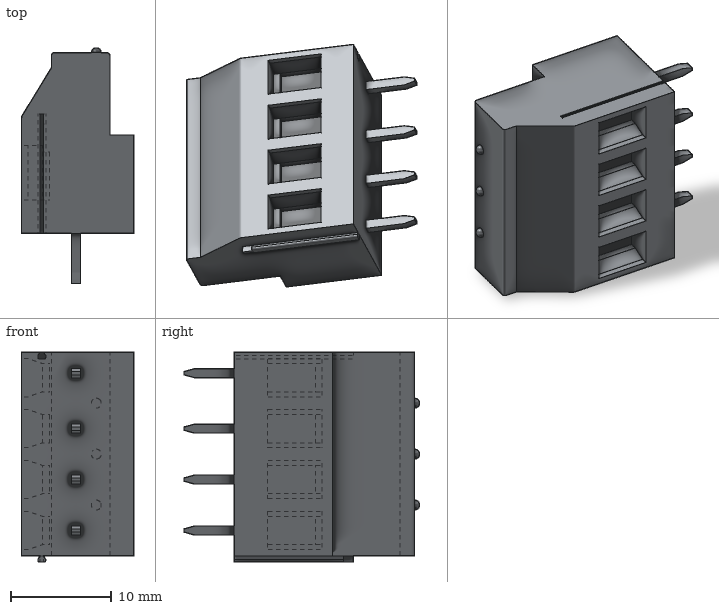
import cadquery as cq


pole_count = 4
pole_pitch = 5.08
housing_height = pole_count * pole_pitch
housing_width = 11.2
housing_depth = 18.0
step_x = 8.84
step_y = 9.82
slope_start_y = 11.63
slope_end_x = 2.98
slope_end_y = 16.52
slope_fillet = 0.47
near_top_fillet = 0.25
far_top_fillet = 0.35

pocket_length = 5.45
pocket_height = 3.8
pocket_start_y = 3.31
pocket_land = 0.63
pocket_slope_depth = 1.45
pocket_slope_rise = 0.5
chamber_depth = 0.7
chamber_ledge = 0.65

pin_length = 5.0
pin_thickness = 0.92
pin_x = 5.43
pin_taper_length = 1.05
pin_tip_height = 0.33
pin_embed = 0.24
top_pin_rise = 0.45

bump_radius = 0.5
bump_x = 7.45

rail_x = 2.02
rail_height = 0.6
rail_neck_width = 0.33
rail_head_width = 0.8
rail_flare_height = 0.33
rail_head_fillet = 0.19
rail_length = 11.9
rail_lead_length = 0.99
rail_embed = 0.12
groove_depth = 0.68


def pole_center_z(index):
    return (index + 0.5) * pole_pitch


def make_housing():
    body = (
        cq.Workplane("XY")
        .moveTo(0, 0)
        .lineTo(housing_width, 0)
        .lineTo(housing_width, step_y)
        .lineTo(step_x, step_y)
        .lineTo(step_x, housing_depth)
        .lineTo(slope_end_x, housing_depth)
        .lineTo(slope_end_x, slope_end_y)
        .lineTo(0, slope_start_y)
        .close()
        .extrude(housing_height)
    )
    rounded_corners = (
        (0, slope_start_y, slope_fillet),
        (slope_end_x, housing_depth, near_top_fillet),
        (step_x, housing_depth, far_top_fillet),
    )
    for x, y, radius in rounded_corners:
        corner = cq.selectors.NearestToPointSelector((x, y, housing_height / 2))
        body = body.edges("|Z").edges(corner).fillet(radius)
    return body


def make_pocket(center_z):
    """Funnel with sloping floor and roof, opening into a shorter chamber."""
    mouth = pocket_height / 2
    throat = mouth - pocket_slope_rise
    funnel_depth = pocket_land + pocket_slope_depth
    end_y = pocket_start_y + pocket_length
    funnel = (
        cq.Workplane("XZ", origin=(0, end_y, center_z))
        .moveTo(0, -mouth)
        .lineTo(pocket_land, -mouth)
        .lineTo(funnel_depth, -throat)
        .lineTo(funnel_depth, throat)
        .lineTo(pocket_land, mouth)
        .lineTo(0, mouth)
        .close()
        .extrude(pocket_length)
    )
    chamber = (
        cq.Workplane("XY")
        .box(
            funnel_depth + chamber_depth,
            pocket_length - chamber_ledge,
            2 * throat,
            centered=(False, False, True),
        )
        .translate((0, pocket_start_y, center_z))
    )
    return funnel.union(chamber)


def make_pin(center_z):
    """Square pin whose end tapers in height only."""
    half_height = pin_thickness / 2
    half_tip = pin_tip_height / 2
    taper_y = pin_taper_length - pin_length
    return (
        cq.Workplane("YZ", origin=(pin_x, 0, center_z))
        .moveTo(pin_embed, -half_height)
        .lineTo(taper_y, -half_height)
        .lineTo(-pin_length, -half_tip)
        .lineTo(-pin_length, half_tip)
        .lineTo(taper_y, half_height)
        .lineTo(pin_embed, half_height)
        .close()
        .extrude(half_height, both=True)
    )


def make_bump(center_z):
    return cq.Workplane("XY").sphere(bump_radius).translate((bump_x, housing_depth, center_z))


def make_dovetail(length, height):
    """Bar with a flared, rounded head hanging below Z = 0."""
    half_neck = rail_neck_width / 2
    half_head = rail_head_width / 2
    return (
        cq.Workplane("XZ", origin=(rail_x, length, 0))
        .moveTo(-half_neck, 0)
        .lineTo(-half_head, -rail_flare_height)
        .lineTo(-half_head, -height)
        .lineTo(half_head, -height)
        .lineTo(half_head, -rail_flare_height)
        .lineTo(half_neck, 0)
        .close()
        .extrude(length)
        .edges("|Y and <Z")
        .fillet(rail_head_fillet)
    )


def make_rail():
    """Dovetail with a plain core of neck width that runs on past its rear end."""
    core = (
        cq.Workplane("XY")
        .box(rail_neck_width, rail_length, rail_height + rail_embed, centered=(True, False, False))
        .translate((rail_x, 0, -rail_height))
    )
    return make_dovetail(rail_length - rail_lead_length, rail_height).union(core)


result = make_housing()

for index in range(pole_count):
    result = result.cut(make_pocket(pole_center_z(index)))

groove = make_dovetail(rail_length, groove_depth).translate((0, 0, housing_height))
result = result.cut(groove)
result = result.union(make_rail())

for index in range(pole_count):
    is_top_pole = index == pole_count - 1
    pin_z = pole_center_z(index) + (top_pin_rise if is_top_pole else 0)
    result = result.union(make_pin(pin_z))

for index in range(1, pole_count):
    result = result.union(make_bump(index * pole_pitch))